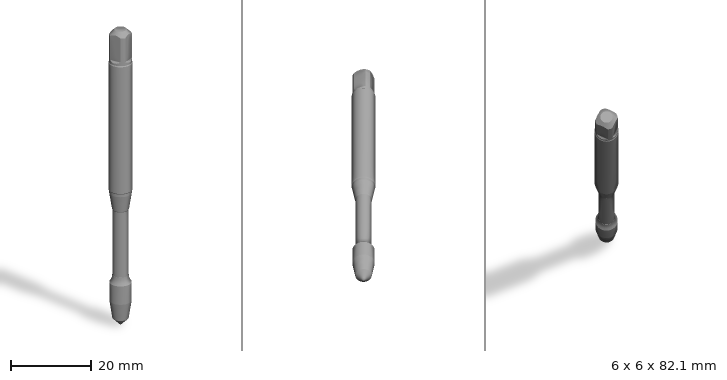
import cadquery as cq
import math

total_length = 82.1

shank_radius = 6.0 / 2
relief_radius = 5.7 / 2
edge_chamfer = 0.25
shank_top = 72.9
shank_bottom = 37.8
taper_top = 36.8
taper_bottom = 32.35
taper_end_radius = 2.1
neck_radius = 4.0 / 2
neck_bevel = 0.25

across_flats = 4.8
flat_bottom = 74.1
top_chamfer = 1.3

head_radius = 5.6 / 2
head_top = 14.0
land_top = 12.0
head_top_radius = 4.1 / 2
land_bottom = 6.9
point_radius = 4.1 / 2
point_height = point_radius


def revolve_profile(points):
    """Revolve a closed (radius, height) outline around the Z axis."""
    return cq.Workplane("XZ").polyline(points).close().revolve(360, (0, 0, 0), (0, 1, 0))


def make_flat_cutter():
    """Material outside the +X flat, ending below in a 45 degree outward slope."""
    inner = across_flats / 2
    outer = 2 * shank_radius
    return (
        cq.Workplane("XZ")
        .polyline([
            (inner, flat_bottom),
            (outer, flat_bottom - (outer - inner)),
            (outer, total_length),
            (inner, total_length),
        ])
        .close()
        .extrude(shank_radius, both=True)
    )


def make_shank():
    """Neck, taper, gripping shank and driving square."""
    shank = revolve_profile([
        (0, head_top),
        (neck_radius, head_top),
        (neck_radius, taper_bottom - neck_bevel),
        (taper_end_radius, taper_bottom),
        (relief_radius, taper_top),
        (relief_radius, shank_bottom - edge_chamfer),
        (shank_radius, shank_bottom),
        (shank_radius, shank_top),
        (relief_radius, shank_top + edge_chamfer),
        (relief_radius, total_length - top_chamfer),
        (relief_radius - top_chamfer, total_length),
        (0, total_length),
    ])
    cutter = make_flat_cutter()
    for angle in (0, 90, 180, 270):
        shank = shank.cut(cutter.rotate((0, 0, 0), (0, 0, 1), angle))
    return shank


def shoulder_arc_middle():
    """Midpoint of the shoulder arc, which runs parallel to the axis at the neck."""
    rise = head_radius - head_top_radius
    length = head_top - land_top
    arc_radius = (rise**2 + length**2) / (2 * rise)
    half_angle = math.asin(length / arc_radius) / 2
    return (
        head_top_radius + arc_radius * (1 - math.cos(half_angle)),
        head_top - arc_radius * math.sin(half_angle),
    )


def make_head():
    """Working head: concave shoulder, cylindrical land, lead taper and point."""
    return (
        cq.Workplane("XZ")
        .moveTo(0, 0)
        .lineTo(point_radius, point_height)
        .lineTo(head_radius, land_bottom)
        .lineTo(head_radius, land_top)
        .threePointArc(shoulder_arc_middle(), (head_top_radius, head_top))
        .lineTo(0, head_top)
        .close()
        .revolve(360, (0, 0, 0), (0, 1, 0))
    )


shank = make_shank()
head = make_head()
result = cq.Compound.makeCompound([shank.val(), head.val()])